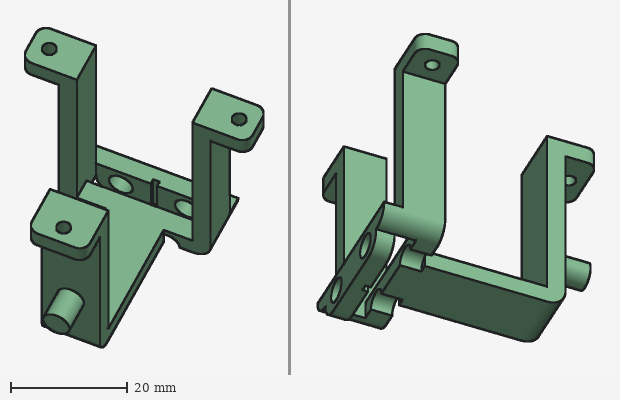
import cadquery as cq

overall_width = 43.0
overall_depth = 44.0
overall_height = 42.0

wall = 3.48
bend_radius = wall
flange_corner_radius = 2.0
flange_hole_diameter = 2.5

frame_width = 28.8
frame_inner_width = frame_width - 2 * wall
arm_depth = 8.0
crossbar_depth = arm_depth / 2
floor_bottom = 3.75
floor_top = floor_bottom + wall
flange_bottom = overall_height - wall
side_hole_inset = 3.5

plate_front = overall_depth - wall
arm_front = plate_front - arm_depth
crossbar_rear = arm_front + crossbar_depth
groove_width = 1.2
groove_depth = 1.0
plate_hole_diameter = 4.5
plate_hole_offset = 6.25

strap_width = 11.05
front_flange_length = 6.05
front_hole_inset = 3.05
pin_diameter = 5.0
pin_height = 17.4


def box(width, y_start, y_end, z_start, z_end):
    """Block centred on the symmetry plane that fills the given Y and Z ranges."""
    size = (width, y_end - y_start, z_end - z_start)
    return cq.Workplane("XY").box(*size, centered=(True, False, False)).translate((0, y_start, z_start))


def cylinder_along_y(diameter, x, z, y_start, y_end):
    """Round bar parallel to Y."""
    plane = cq.Workplane("XZ", origin=(x, y_start, z))
    return plane.circle(diameter / 2).extrude(-(y_end - y_start))


def flange_hole(x, y):
    """Vertical cutter through a top flange."""
    plane = cq.Workplane("XY", origin=(x, y, flange_bottom))
    return plane.circle(flange_hole_diameter / 2).extrude(wall)


def make_frame():
    """U-shaped frame with rounded lower bends, an outward flange on each arm and a rear strip."""
    frame = box(frame_width, arm_front, overall_depth, floor_bottom, overall_height)
    frame = frame.edges("|Y and <Z").fillet(bend_radius)

    frame = frame.cut(box(frame_width, plate_front, overall_depth, floor_top, overall_height))

    flanges = box(overall_width, arm_front, plate_front, flange_bottom, overall_height)
    flanges = flanges.edges("|Z").fillet(flange_corner_radius)
    frame = frame.union(flanges)
    frame = frame.cut(box(frame_inner_width, arm_front, plate_front, floor_top, overall_height))

    frame = frame.cut(box(frame_inner_width, crossbar_rear, plate_front, floor_bottom, floor_top))

    hole_x = overall_width / 2 - side_hole_inset
    hole_y = arm_front + arm_depth / 2
    for side in (-1, 1):
        frame = frame.cut(flange_hole(side * hole_x, hole_y))
    return frame


def add_plate_tab(frame):
    """Rounded tab that carries the rear plate down to Z = 0."""
    tab = box(frame_inner_width, plate_front, overall_depth, 0, floor_top)
    tab = tab.edges("|Y and <Z").fillet(bend_radius)
    return frame.union(tab)


def cut_plate_details(frame):
    """Vertical groove in the front face of the plate, and two holes through plate and crossbar."""
    groove = box(groove_width, plate_front, plate_front + groove_depth, 0, floor_top)
    frame = frame.cut(groove)
    for side in (-1, 1):
        hole_x = side * plate_hole_offset
        frame = frame.cut(cylinder_along_y(plate_hole_diameter, hole_x, floor_bottom, arm_front, overall_depth))
    return frame


def make_strap():
    """L-shaped strap running forward and up, with a forward flange and a pin."""
    post_front = front_flange_length
    post_rear = post_front + wall
    strap = box(strap_width, post_front, arm_front, floor_bottom, overall_height)
    strap = strap.edges("|X and <Y and <Z").fillet(bend_radius)
    strap = strap.cut(box(strap_width, post_rear, arm_front, floor_top, overall_height))

    flange = box(strap_width, 0, post_rear, flange_bottom, overall_height)
    flange = flange.edges("|Z and <Y").fillet(flange_corner_radius)
    strap = strap.union(flange).cut(flange_hole(0, front_hole_inset))

    return strap.union(cylinder_along_y(pin_diameter, 0, pin_height, 0, post_rear))


rear_frame = cut_plate_details(add_plate_tab(make_frame()))
result = rear_frame.union(make_strap())